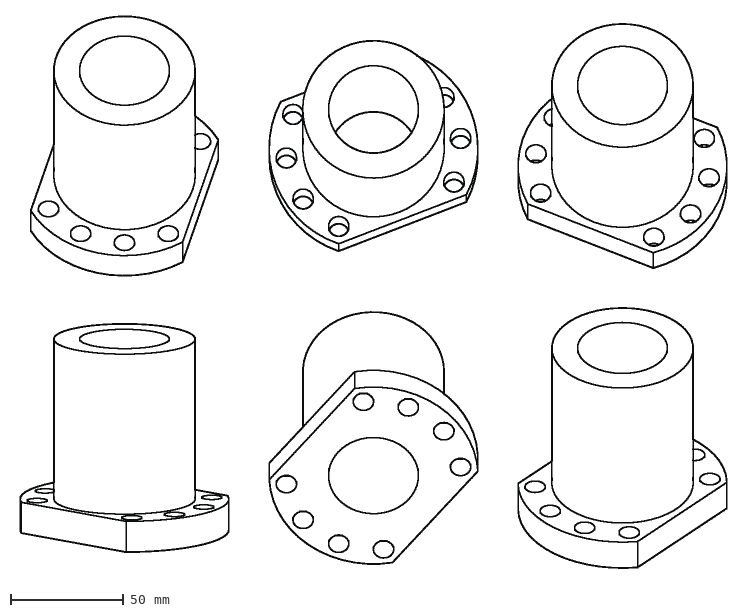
import cadquery as cq

flange_diameter = 93.0
flange_width = 70.0
flange_thickness = 14.0

total_height = 87.0
sleeve_diameter = 63.0
bore_diameter = 40.0

bolt_hole_diameter = 9.0
bolt_circle_diameter = 78.0
bolt_angle_step = 30.0
holes_per_group = 4
group_centre_angles = (90.0, 270.0)


def make_flange():
    """Round flange trimmed by two flats parallel to the YZ plane."""
    disc = cq.Workplane("XY").circle(flange_diameter / 2).extrude(flange_thickness)
    trim = cq.Workplane("XY").rect(flange_width, flange_diameter).extrude(flange_thickness)
    return disc.intersect(trim)


def make_sleeve():
    return cq.Workplane("XY").circle(sleeve_diameter / 2).extrude(total_height)


def make_bore():
    return cq.Workplane("XY").circle(bore_diameter / 2).extrude(total_height)


def make_bolt_holes(group_centre_angle):
    """Cutters for one group of evenly spaced holes on the bolt circle."""
    group_span = bolt_angle_step * (holes_per_group - 1)
    return (
        cq.Workplane("XY")
        .polarArray(
            bolt_circle_diameter / 2,
            group_centre_angle - group_span / 2,
            group_span,
            holes_per_group,
        )
        .circle(bolt_hole_diameter / 2)
        .extrude(flange_thickness)
    )


result = make_flange().union(make_sleeve()).cut(make_bore())
for centre_angle in group_centre_angles:
    result = result.cut(make_bolt_holes(centre_angle))